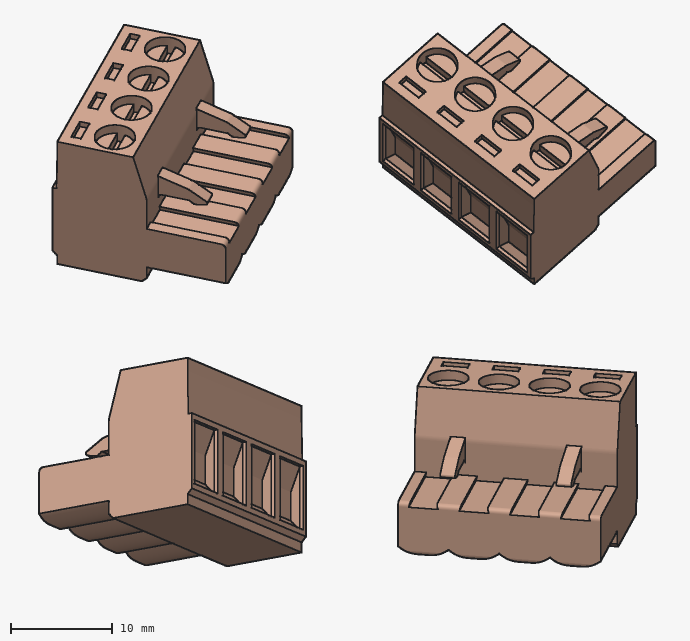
import cadquery as cq


POLES = 4
PITCH = 5.08
LENGTH = POLES * PITCH
HEIGHT = 15.0
TOTAL_DEPTH = 18.0
CUT_MARGIN = 0.2

HOUSING_BACK = 9.8
WALL_SETBACK = 0.5
ENTRY_BOTTOM = 1.55
ENTRY_TOP = 9.25
DRAFT_TOP = 13.7
DRAFT_OFFSET = 0.08
ROOF_BACK = 8.4
SLOPE_BOTTOM = 10.18
SLOPE_BLEND_RADIUS = 1.5
BACK_CHAMFER = 0.49

PLUG_OVERLAP = 1.02
PLUG_TOP = 6.55
PLUG_BOTTOM = 0.98
PLUG_SIDE_BOTTOM = 1.85
PLUG_NOSE_RADIUS = 0.49
CHANNEL_WIDTH = 2.68
CHANNEL_DEPTH = PLUG_NOSE_RADIUS
CHANNEL_UNDERCUT = 0.12

LATCH_INNER_Y = PITCH
LATCH_WIDTH = 1.48
LATCH_UNDERSIDE = 8.27
LATCH_ROOT_RADIUS = 0.4
LATCH_ROOT_X = 9.71
LATCH_ROOT_TOP = 10.49
LATCH_KNEE_X = 12.9
LATCH_KNEE_Z = 9.61
LATCH_TIP_X = 15.26
LATCH_TIP_Z = 8.27
HOOK_START_X = 12.98
HOOK_FLAT_START_X = 13.47
HOOK_FLAT_END_X = 13.74
HOOK_BOTTOM = 7.95
LATCH_KNEE_RADIUS = 0.6
LATCH_TIP_RADIUS = 0.22

MOUTH_WIDTH = 4.1
MOUTH_BOTTOM = 2.13
MOUTH_TOP = 8.65
MOUTH_DEPTH = 0.4
THROAT_WIDTH = 2.68
THROAT_BOTTOM = 3.03
THROAT_TOP = 5.97
FUNNEL_DEPTH = 0.59

SCREW_X = 5.63
WELL_DIAMETER = 4.0
SCREW_DIAMETER = 3.9
SCREW_RECESS = 1.0
DRIVER_SLOT_WIDTH = 0.83
DRIVER_SLOT_DEPTH = 1.0
TEST_SLOT_X = 2.05
TEST_SLOT_WIDTH = 1.0
TEST_SLOT_LENGTH = 2.62
TEST_SLOT_DEPTH = 0.6

POLE_CENTERS = [(i - (POLES - 1) / 2) * PITCH for i in range(POLES)]


def extrude_along_y(sketch, y_start, width):
    """Extrude a closed XZ sketch toward +Y, starting at y_start."""
    return sketch.extrude(-width).translate((0, y_start, 0))


def edge_at(x, y, z):
    """Selector for the edge whose middle lies nearest to the given point."""
    return cq.selectors.NearestToPointSelector((x, y, z))


def box_between(x_range, y_range, z_range):
    """Box given by its lower and upper limit on each axis."""
    ranges = (x_range, y_range, z_range)
    sizes = [high - low for low, high in ranges]
    corner = tuple(low for low, high in ranges)
    return cq.Workplane("XY").box(*sizes, centered=False).translate(corner)


def make_housing():
    profile = (
        cq.Workplane("XZ")
        .moveTo(WALL_SETBACK, 0)
        .lineTo(HOUSING_BACK - BACK_CHAMFER, 0)
        .lineTo(HOUSING_BACK, BACK_CHAMFER)
        .lineTo(HOUSING_BACK, SLOPE_BOTTOM)
        .lineTo(ROOF_BACK, HEIGHT)
        .lineTo(WALL_SETBACK, HEIGHT)
        .lineTo(WALL_SETBACK, DRAFT_TOP)
        .lineTo(WALL_SETBACK - DRAFT_OFFSET, ENTRY_TOP)
        .lineTo(0, ENTRY_TOP)
        .lineTo(0, ENTRY_BOTTOM)
        .lineTo(WALL_SETBACK, ENTRY_BOTTOM - WALL_SETBACK)
        .close()
    )
    housing = extrude_along_y(profile, -LENGTH / 2, LENGTH)
    return housing.edges(edge_at(HOUSING_BACK, 0, SLOPE_BOTTOM)).fillet(SLOPE_BLEND_RADIUS)


def make_pole_barrel(pole_y):
    """Plug material of one pole above its convex, part-cylindrical underside."""
    half = PITCH / 2
    return (
        cq.Workplane("YZ", origin=(0, pole_y, 0))
        .moveTo(-half, PLUG_TOP)
        .lineTo(-half, PLUG_SIDE_BOTTOM)
        .threePointArc((0, PLUG_BOTTOM), (half, PLUG_SIDE_BOTTOM))
        .lineTo(half, PLUG_TOP)
        .close()
        .extrude(TOTAL_DEPTH)
    )


def make_plug():
    plug = box_between(
        (HOUSING_BACK - PLUG_OVERLAP, TOTAL_DEPTH),
        (-LENGTH / 2, LENGTH / 2),
        (PLUG_BOTTOM, PLUG_TOP),
    )
    plug = plug.edges(">X and |Y").fillet(PLUG_NOSE_RADIUS)
    barrels = make_pole_barrel(POLE_CENTERS[0])
    for pole_y in POLE_CENTERS[1:]:
        barrels = barrels.union(make_pole_barrel(pole_y))
    plug = plug.intersect(barrels)
    top_half = CHANNEL_WIDTH / 2
    floor_half = top_half + CHANNEL_UNDERCUT
    for pole_y in POLE_CENTERS:
        channel = (
            cq.Workplane("YZ", origin=(HOUSING_BACK, pole_y, PLUG_TOP))
            .polyline([
                (-top_half, 0),
                (top_half, 0),
                (floor_half, -CHANNEL_DEPTH),
                (-floor_half, -CHANNEL_DEPTH),
            ])
            .close()
            .extrude(TOTAL_DEPTH - HOUSING_BACK)
        )
        plug = plug.cut(channel)
    return plug


def make_latch(y_start):
    """Hooked arm reaching out over the plug; its root is buried in the housing."""
    y_mid = y_start + LATCH_WIDTH / 2
    profile = (
        cq.Workplane("XZ")
        .moveTo(ROOF_BACK, LATCH_UNDERSIDE - LATCH_ROOT_RADIUS)
        .lineTo(HOUSING_BACK, LATCH_UNDERSIDE - LATCH_ROOT_RADIUS)
        .radiusArc((HOUSING_BACK + LATCH_ROOT_RADIUS, LATCH_UNDERSIDE), LATCH_ROOT_RADIUS)
        .lineTo(HOOK_START_X, LATCH_UNDERSIDE)
        .lineTo(HOOK_FLAT_START_X, HOOK_BOTTOM)
        .lineTo(HOOK_FLAT_END_X, HOOK_BOTTOM)
        .lineTo(LATCH_TIP_X, LATCH_TIP_Z)
        .lineTo(LATCH_KNEE_X, LATCH_KNEE_Z)
        .lineTo(LATCH_ROOT_X, LATCH_ROOT_TOP)
        .lineTo(ROOF_BACK, LATCH_ROOT_TOP)
        .close()
    )
    arm = extrude_along_y(profile, y_start, LATCH_WIDTH)
    arm = arm.edges(edge_at(LATCH_KNEE_X, y_mid, LATCH_KNEE_Z)).fillet(LATCH_KNEE_RADIUS)
    return arm.edges(edge_at(LATCH_TIP_X, y_mid, LATCH_TIP_Z)).fillet(LATCH_TIP_RADIUS)


def make_wire_funnel(pole_y):
    """Rectangular mouth followed by a tapered throat."""
    mouth = box_between(
        (-CUT_MARGIN, MOUTH_DEPTH),
        (pole_y - MOUTH_WIDTH / 2, pole_y + MOUTH_WIDTH / 2),
        (MOUTH_BOTTOM, MOUTH_TOP),
    )
    mouth_z = (MOUTH_BOTTOM + MOUTH_TOP) / 2
    throat_z = (THROAT_BOTTOM + THROAT_TOP) / 2
    taper = (
        cq.Workplane("YZ", origin=(MOUTH_DEPTH, pole_y, mouth_z))
        .rect(MOUTH_WIDTH, MOUTH_TOP - MOUTH_BOTTOM)
        .workplane(offset=FUNNEL_DEPTH)
        .center(0, throat_z - mouth_z)
        .rect(THROAT_WIDTH, THROAT_TOP - THROAT_BOTTOM)
        .loft(ruled=True)
    )
    return mouth.union(taper)


def make_screw_well(pole_y):
    """Round well around a sunken slotted screw head."""
    slot_floor = HEIGHT - SCREW_RECESS - DRIVER_SLOT_DEPTH
    well = (
        cq.Workplane("XY", origin=(SCREW_X, pole_y, slot_floor))
        .circle(WELL_DIAMETER / 2)
        .extrude(HEIGHT + CUT_MARGIN - slot_floor)
    )
    head = (
        cq.Workplane("XY", origin=(SCREW_X, pole_y, slot_floor))
        .circle(SCREW_DIAMETER / 2)
        .extrude(DRIVER_SLOT_DEPTH)
    )
    driver_slot = (
        cq.Workplane("XY", origin=(SCREW_X, pole_y, slot_floor))
        .rect(DRIVER_SLOT_WIDTH, WELL_DIAMETER)
        .extrude(DRIVER_SLOT_DEPTH)
    )
    return well.cut(head.cut(driver_slot))


def make_test_slot(pole_y):
    return (
        cq.Workplane("XY", origin=(TEST_SLOT_X, pole_y, HEIGHT - TEST_SLOT_DEPTH))
        .rect(TEST_SLOT_WIDTH, TEST_SLOT_LENGTH)
        .extrude(TEST_SLOT_DEPTH + CUT_MARGIN)
    )


result = make_housing().union(make_plug())
for latch_y in (LATCH_INNER_Y, -LATCH_INNER_Y - LATCH_WIDTH):
    result = result.union(make_latch(latch_y))
for pole in POLE_CENTERS:
    result = result.cut(make_wire_funnel(pole))
    result = result.cut(make_screw_well(pole))
    result = result.cut(make_test_slot(pole))